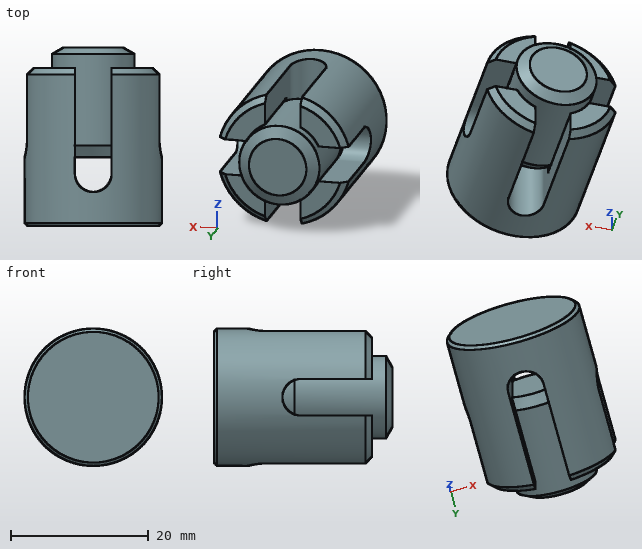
import cadquery as cq
import math

total_length = 26.0
housing_length = 23.0
housing_diameter = 20.0
closed_end_chamfer = 0.5
open_end_chamfer = 1.0

pin_length = 16.02
pin_radius = 6.0
pin_chamfer = 1.0
chamfer_angle = math.radians(30)

slot_width = 5.3
z_slot_floor = 5.0

housing_radius = housing_diameter / 2
pin_start = total_length - pin_length
x_slot_floor = pin_start
pin_chamfer_long_leg = pin_chamfer / math.tan(chamfer_angle)
cut_length = 2 * housing_length


def revolve_about_y(points):
    """Revolve a closed (radius, Y) outline about the Y axis."""
    return cq.Workplane("XY").polyline(points).close().revolve(360, (0, 0, 0), (0, 1, 0))


def make_slot():
    """Slot through along Z, open at the far end, with its rounded end touching Y = 0."""
    end_radius = slot_width / 2
    return (
        cq.Workplane("XY")
        .moveTo(-end_radius, cut_length)
        .lineTo(-end_radius, end_radius)
        .threePointArc((0, 0), (end_radius, end_radius))
        .lineTo(end_radius, cut_length)
        .close()
        .extrude(housing_length, both=True)
    )


def make_housing():
    """Cup with a blind bore for the pin and two crossing slots of different depth."""
    housing = revolve_about_y([
        (0, 0),
        (housing_radius - closed_end_chamfer, 0),
        (housing_radius, closed_end_chamfer),
        (housing_radius, housing_length - open_end_chamfer),
        (housing_radius - open_end_chamfer, housing_length),
        (pin_radius, housing_length),
        (pin_radius, pin_start),
        (0, pin_start),
    ])
    z_slot = make_slot().translate((0, z_slot_floor, 0))
    x_slot = make_slot().rotate((0, 0, 0), (0, 1, 0), 90).translate((0, x_slot_floor, 0))
    return housing.cut(z_slot).cut(x_slot)


def make_pin():
    """Round pin with a slim taper at its inner end and a blunt chamfer at its outer end."""
    return revolve_about_y([
        (0, pin_start),
        (pin_radius - pin_chamfer, pin_start),
        (pin_radius, pin_start + pin_chamfer_long_leg),
        (pin_radius, total_length - pin_chamfer),
        (pin_radius - pin_chamfer_long_leg, total_length),
        (0, total_length),
    ])


housing = make_housing()
pin = make_pin()
result = cq.Compound.makeCompound([housing.solids().val(), pin.val()])